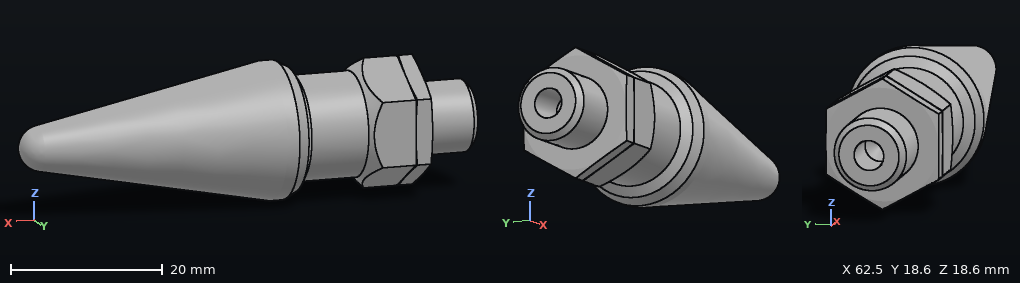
import cadquery as cq
import math

total_length = 62.5

stub_radius = 4.9
stub_chamfer = 0.8
flange_start = 7.55
flange_end = 9.9
flange_bevel = 0.2
bore_diameter = 4.0
bore_depth = 6.25
drill_point_angle = 118.0

hex_across_flats = 15.25
hex_flat_radius = hex_across_flats / 2
hex_corner_radius = hex_flat_radius / math.cos(math.radians(30))

neck_radius = 7.05
neck_start = 16.25
nut_cone_start = neck_start - (hex_corner_radius - neck_radius)

nozzle_start = 24.2
collar_radius = 18.55 / 2
chamfer_break_x = 25.05
chamfer_break_radius = 8.45
collar_start = 26.6
collar_end = 28.3
tip_radius = 3.1


def hexagon_prism(start, end):
    """Hexagonal bar along X from start to end."""
    return (
        cq.Workplane("YZ", origin=(start, 0, 0))
        .polygon(6, 2 * hex_corner_radius)
        .extrude(end - start)
        .rotate((0, 0, 0), (1, 0, 0), 90)
    )


def revolve_about_x(profile):
    """Full turn of an (x, radius) profile about the X axis."""
    return profile.close().revolve(360, (0, 0, 0), (1, 0, 0))


def make_plug():
    """Stub and flange with a blind drilled bore."""
    stub = revolve_about_x(
        cq.Workplane("XY")
        .lineTo(0, stub_radius - stub_chamfer)
        .lineTo(stub_chamfer, stub_radius)
        .lineTo(flange_end, stub_radius)
        .lineTo(flange_end, 0)
    )
    envelope = revolve_about_x(
        cq.Workplane("XY")
        .moveTo(flange_start, 0)
        .lineTo(flange_start, hex_flat_radius)
        .lineTo(flange_start + flange_bevel, hex_corner_radius)
        .lineTo(flange_end - flange_bevel, hex_corner_radius)
        .lineTo(flange_end, hex_flat_radius)
        .lineTo(flange_end, 0)
    )
    flange = hexagon_prism(flange_start, flange_end).intersect(envelope)

    bore_radius = bore_diameter / 2
    point_length = bore_radius / math.tan(math.radians(drill_point_angle / 2))
    bore = revolve_about_x(
        cq.Workplane("XY")
        .lineTo(0, bore_radius)
        .lineTo(bore_depth, bore_radius)
        .lineTo(bore_depth + point_length, 0)
    )
    return stub.union(flange).cut(bore)


def make_nut():
    """Hexagon with its rear corners turned to a cone, and the neck behind it."""
    envelope = revolve_about_x(
        cq.Workplane("XY")
        .moveTo(flange_end, 0)
        .lineTo(flange_end, hex_corner_radius)
        .lineTo(nut_cone_start, hex_corner_radius)
        .lineTo(neck_start, neck_radius)
        .lineTo(neck_start, 0)
    )
    hexagon = hexagon_prism(flange_end, neck_start).intersect(envelope)
    neck = (
        cq.Workplane("YZ", origin=(flange_end, 0, 0))
        .circle(neck_radius)
        .extrude(nozzle_start - flange_end)
    )
    return hexagon.union(neck)


def make_nozzle():
    """Solid nozzle whose cone runs tangent into the spherical tip."""
    tip_center = total_length - tip_radius
    cone_run = tip_center - collar_end
    half_angle = math.acos(tip_radius / math.hypot(cone_run, collar_radius)) - math.atan2(
        cone_run, collar_radius
    )

    def tip_point(angle):
        return (tip_center + tip_radius * math.sin(angle), tip_radius * math.cos(angle))

    return revolve_about_x(
        cq.Workplane("XY")
        .moveTo(nozzle_start, 0)
        .lineTo(nozzle_start, neck_radius)
        .lineTo(chamfer_break_x, chamfer_break_radius)
        .lineTo(collar_start, collar_radius)
        .lineTo(collar_end, collar_radius)
        .lineTo(*tip_point(half_angle))
        .threePointArc(tip_point((half_angle + math.pi / 2) / 2), (total_length, 0))
    )


plug = make_plug()
nut = make_nut()
nozzle = make_nozzle()
result = cq.Compound.makeCompound([plug.val(), nut.val(), nozzle.val()])